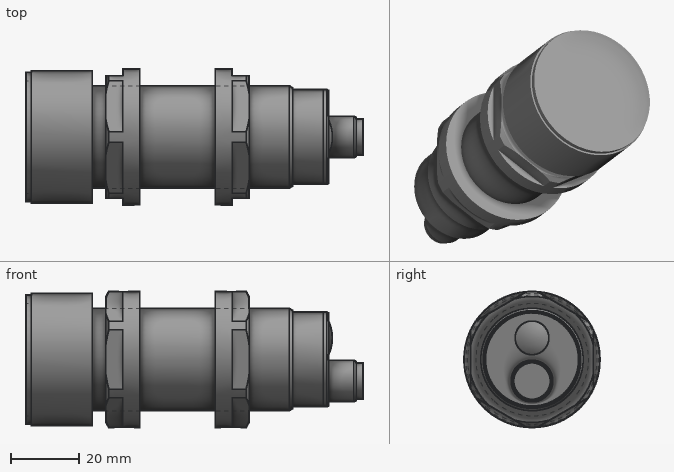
import cadquery as cq
import math

total_length = 98.9

head_radius = 19.5
head_lip_radius = 19.0
head_lip_length = 1.6
head_end = 19.5
barrel_radius = 15.0
barrel_end = 78.3
barrel_chamfer_length = 1.1
barrel_end_radius = 14.3

face_radius = 16.5
face_depth = head_lip_length

nut_radius = 20.0
nut_across_flats = 36.0
nut_length = 10.0
flange_length = nut_length / 2
nut_chamfer_length = 0.9
nut_chamfer_depth = 1.5
nut_placements = [(23.4, False), (65.5, True)]

rear_radius = 13.9
rear_end = 87.2
cap_end = 88.8
cap_chamfer_length = 0.6
cap_chamfer_depth = 0.3

offset_from_axis = 6.3
connector_radius = 6.1
connector_tip_radius = 5.3
connector_shoulder = 96.8
connector_chamfer_length = 0.6
connector_chamfer_depth = 0.4
lens_radius = 4.9
lens_height = 1.1


def revolved(profile):
    """Turn a closed (x, radius) profile about the X axis."""
    return cq.Workplane("XY").polyline(profile).close().revolve(360, (0, 0, 0), (1, 0, 0))


def cylinder(start, end, radius):
    """Solid disc or rod on the X axis between two x positions."""
    return cq.Workplane("YZ", origin=(start, 0, 0)).circle(radius).extrude(end - start)


def make_housing():
    turned = revolved([
        (0, 0),
        (0, head_lip_radius),
        (head_lip_length, head_lip_radius),
        (head_lip_length, head_radius),
        (head_end, head_radius),
        (head_end, barrel_radius),
        (barrel_end - barrel_chamfer_length, barrel_radius),
        (barrel_end, barrel_end_radius),
        (barrel_end, rear_radius),
        (rear_end, rear_radius),
        (rear_end, 0),
    ])
    return turned.cut(cylinder(0, face_depth, face_radius))


def make_nut():
    """Nut with its hexagon end at x = 0 and its flange toward +X."""
    blank = revolved([
        (0, barrel_radius),
        (0, nut_radius - nut_chamfer_depth),
        (nut_chamfer_length, nut_radius),
        (nut_length, nut_radius),
        (nut_length, barrel_radius),
    ])
    hexagon_sides = 6
    half_side_angle = 180 / hexagon_sides
    corner_diameter = nut_across_flats / math.cos(math.radians(half_side_angle))
    waste_radius = nut_radius + nut_chamfer_depth
    hexagon_length = nut_length - flange_length
    waste = (
        cq.Workplane("YZ")
        .circle(waste_radius)
        .polygon(hexagon_sides, corner_diameter)
        .extrude(hexagon_length)
        .rotate((0, 0, 0), (1, 0, 0), half_side_angle)
    )
    return blank.cut(waste)


def place_nut(hexagon_end, flipped):
    nut = make_nut()
    if flipped:
        nut = nut.mirror("YZ")
    return nut.translate((hexagon_end, 0, 0))


def make_cap():
    return revolved([
        (rear_end, 0),
        (rear_end, rear_radius),
        (cap_end - cap_chamfer_length, rear_radius),
        (cap_end, rear_radius - cap_chamfer_depth),
        (cap_end, 0),
    ])


def make_connector():
    return revolved([
        (cap_end, 0),
        (cap_end, connector_radius),
        (connector_shoulder - connector_chamfer_length, connector_radius),
        (connector_shoulder, connector_radius - connector_chamfer_depth),
        (connector_shoulder, connector_tip_radius),
        (total_length, connector_tip_radius),
        (total_length, 0),
    ]).translate((0, 0, -offset_from_axis))


def make_lens():
    sphere_radius = (lens_radius ** 2 + lens_height ** 2) / (2 * lens_height)
    return (
        cq.Workplane("XY")
        .moveTo(cap_end, 0)
        .lineTo(cap_end, lens_radius)
        .radiusArc((cap_end + lens_height, 0), sphere_radius)
        .close()
        .revolve(360, (0, 0, 0), (1, 0, 0))
        .translate((0, 0, offset_from_axis))
    )


housing = make_housing()
sensing_face = cylinder(0, face_depth, face_radius)
nuts = [place_nut(end, flipped) for end, flipped in nut_placements]
cap = make_cap()
connector = make_connector()
lens = make_lens()
result = cq.Compound.makeCompound([
    housing.val(),
    sensing_face.val(),
    *[nut.val() for nut in nuts],
    cap.val(),
    connector.val(),
    lens.val(),
])